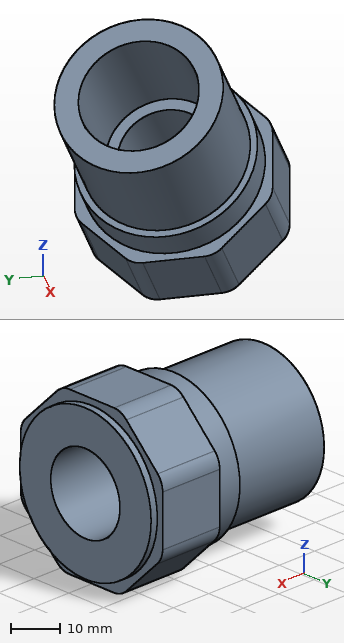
import cadquery as cq
import math

total_length = 50.5
tube_length = 25.35
collar_length = 7.2
end_rim_length = 1.75
nut_start = tube_length + collar_length
nut_length = total_length - nut_start - end_rim_length

tube_diameter = 35.0
collar_diameter = 38.0
across_flats = 41.0
nut_corner_radius = 5.05
nut_sides = 8

socket_diameter = 25.0
socket_depth = tube_length
through_diameter = 20.0


def cylinder(start, length, diameter):
    """Solid cylinder on the X axis, beginning at the given X position."""
    return cq.Workplane("YZ", origin=(start, 0, 0)).circle(diameter / 2).extrude(length)


def octagonal_nut():
    """Octagonal prism with flats facing Y and Z and rounded corners."""
    half_corner_angle = math.pi / nut_sides
    across_corners = across_flats / math.cos(half_corner_angle)
    return (
        cq.Workplane("YZ", origin=(nut_start, 0, 0))
        .transformed(rotate=(0, 0, math.degrees(half_corner_angle)))
        .polygon(nut_sides, across_corners)
        .extrude(nut_length)
        .edges("|X")
        .fillet(nut_corner_radius)
    )


tube = cylinder(0, tube_length, tube_diameter)
collar = cylinder(tube_length, total_length - tube_length, collar_diameter)
body = tube.union(collar).union(octagonal_nut())

socket = cylinder(0, socket_depth, socket_diameter)
through_hole = cylinder(0, total_length, through_diameter)
result = body.cut(socket).cut(through_hole)